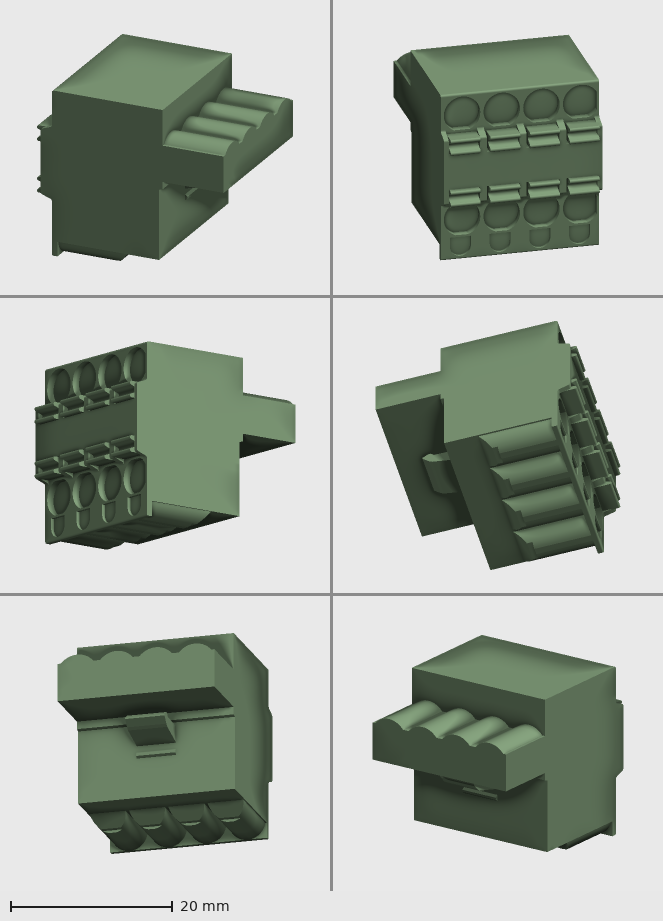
import cadquery as cq

length = 25.72
width = 20.22
height = 22.1
half_width = width / 2

pole_pitch = 5.07
pole_count = 4
pole_centers = [(i - (pole_count - 1) / 2) * pole_pitch for i in range(pole_count)]

face_x = 2.26
band_x = 0.7
band_mid_z = 12.35
band_half_height = 4.32
bevel_rise = 0.55
bevel_radius = 0.3
upper_back_x = 17.39
lower_back_x = 16.9
step_top_z = 11.5
step_bottom_z = 11.35
floor_z = 1.95
lip_back_x = 3.03
top_front_radius = 0.28
bottom_front_radius = 0.2
band_top_z = band_mid_z + band_half_height
band_bottom_z = band_mid_z - band_half_height

plug_bottom_z = 12.47
plug_shoulder_z = 17.34
plug_top_z = 18.3
plug_bump_width = 4.2

lever_width = 3.8
lever_shift_y = -0.1
lever_top_z = 16.87
lever_height = 2.1
lever_spacing_z = 6.9
lever_root_x = face_x + 0.51
prong_tip_height = 0.51
prong_tip_depth = 0.23
groove_depth = 1.25
groove_root_height = 0.5
groove_root_depth = 0.18
window_width = 4.2
window_side_wall = 0.62
window_reach = band_half_height + bevel_rise + bevel_radius
window_clearance = 0.08

driver_diameter = 4.65
driver_radius = driver_diameter / 2
driver_shift_y = -0.2
driver_depth = 1.0
driver_side_wall = 0.3
upper_driver_z = 19.37
upper_driver_flat_z = 17.28
lower_driver_z = 5.4
lower_driver_bottom_z = 3.22
lower_driver_top_z = 7.55

test_radius = 1.35
test_arc_z = 1.75
test_top_z = 2.95
test_depth = 0.45

duct_radius = driver_radius
duct_axis_z = 2.3
duct_foot_end_x = 10.37
duct_foot_height = 0.33
duct_tip_x = 11.09
duct_end_x = 12.55

latch_width = pole_pitch
latch_root_bottom_z = 8.7
latch_root_top_z = 10.8
latch_barb_x = 20.47
latch_barb_bottom_z = 10.9
latch_barb_top_z = 11.32
latch_crest_front_x = 20.83
latch_crest_back_x = 21.17
latch_tip_x = 21.91
latch_tip_bottom_z = 10.65
latch_tip_top_z = 10.85
latch_heel_x = 20.68
latch_heel_z = 9.55
latch_ramp_x = 21.1
latch_ramp_z = 9.83
nub_width = pole_pitch
nub_x = 17.23
nub_bottom_z = 7.1
nub_top_z = 7.9
nub_edge_bottom_z = 7.33
nub_edge_top_z = 7.61


def slab(outline, y_size, y_center=0.0):
    """Extrude a wire drawn in XZ symmetrically about y_center."""
    return outline.extrude(y_size / 2, both=True).translate((0, y_center, 0))


def box(x_range, y_range, z_range):
    sizes = [high - low for low, high in (x_range, y_range, z_range)]
    corner = (x_range[0], y_range[0], z_range[0])
    return cq.Workplane("XY").box(*sizes, centered=False).translate(corner)


def round_corner(solid, x, z, radius):
    """Round the edge along Y that passes through (x, z)."""
    edge = cq.selectors.NearestToPointSelector((x, 0, z))
    return solid.edges(edge).fillet(radius)


def make_housing():
    outline = cq.Workplane("XZ").polyline([
        (face_x, 0),
        (face_x, band_bottom_z - bevel_rise),
        (band_x, band_bottom_z),
        (band_x, band_top_z),
        (face_x, band_top_z + bevel_rise),
        (face_x, height),
        (upper_back_x, height),
        (upper_back_x, step_top_z),
        (lower_back_x, step_bottom_z),
        (lower_back_x, floor_z),
        (lip_back_x, floor_z),
        (lip_back_x, 0),
    ]).close()
    housing = slab(outline, width)
    for side in (-1, 1):
        corner_z = band_mid_z + side * band_half_height
        housing = round_corner(housing, band_x, corner_z, bevel_radius)
        housing = round_corner(housing, face_x, corner_z + side * bevel_rise, bevel_radius)
    housing = round_corner(housing, face_x, height, top_front_radius)
    return round_corner(housing, face_x, 0, bottom_front_radius)


def make_plug():
    plug = box((upper_back_x, length), (-half_width, half_width), (plug_bottom_z, plug_shoulder_z))
    half_bump = plug_bump_width / 2
    for y in pole_centers:
        bump = (
            cq.Workplane("YZ", origin=(upper_back_x, y, 0))
            .moveTo(-half_bump, plug_shoulder_z)
            .threePointArc((0, plug_top_z), (half_bump, plug_shoulder_z))
            .close()
            .extrude(length - upper_back_x)
        )
        plug = plug.union(bump)
    return plug


def make_window(y, z_range):
    inner_limit = half_width - window_side_wall
    y_low = max(y - window_width / 2, -inner_limit)
    y_high = min(y + window_width / 2, inner_limit)
    return box((0, face_x), (y_low, y_high), z_range)


def make_lever(y, top_z):
    """Two rounded prongs with a round-bottomed groove between them."""
    middle_z = -lever_height / 2
    groove_shoulder_x = groove_depth - groove_root_depth
    groove_top_z = middle_z + groove_root_height / 2
    groove_bottom_z = middle_z - groove_root_height / 2
    outline = (
        cq.Workplane("XZ")
        .moveTo(lever_root_x, 0)
        .lineTo(prong_tip_depth, 0)
        .threePointArc((0, -prong_tip_height / 2), (prong_tip_depth, -prong_tip_height))
        .lineTo(groove_shoulder_x, groove_top_z)
        .threePointArc((groove_depth, middle_z), (groove_shoulder_x, groove_bottom_z))
        .lineTo(prong_tip_depth, prong_tip_height - lever_height)
        .threePointArc((0, prong_tip_height / 2 - lever_height), (prong_tip_depth, -lever_height))
        .lineTo(lever_root_x, -lever_height)
        .close()
    )
    return slab(outline, lever_width, y + lever_shift_y).translate((0, 0, top_z))


def make_driver_pocket(y, z, z_range):
    """Round pocket cut off flat above and below, and kept clear of the side walls."""
    limit = half_width - driver_side_wall
    pocket = (
        cq.Workplane("YZ", origin=(face_x, y + driver_shift_y, z))
        .circle(driver_radius)
        .extrude(driver_depth)
    )
    return pocket.intersect(box((face_x, face_x + driver_depth), (-limit, limit), z_range))


def make_test_opening(y):
    return (
        cq.Workplane("YZ", origin=(face_x, y, 0))
        .moveTo(-test_radius, test_top_z)
        .lineTo(-test_radius, test_arc_z)
        .threePointArc((0, test_arc_z - test_radius), (test_radius, test_arc_z))
        .lineTo(test_radius, test_top_z)
        .close()
        .extrude(test_depth)
    )


def make_duct(y):
    """Round duct hanging below the floor, with a stepped and slanted end."""
    duct = (
        cq.Workplane("YZ", origin=(lip_back_x, y, duct_axis_z))
        .circle(duct_radius)
        .extrude(duct_end_x - lip_back_x)
    )
    envelope = cq.Workplane("XZ").polyline([
        (lip_back_x, 0),
        (duct_foot_end_x, 0),
        (duct_foot_end_x, duct_foot_height),
        (duct_tip_x, duct_foot_height),
        (duct_end_x, floor_z),
        (duct_end_x, duct_axis_z),
        (lip_back_x, duct_axis_z),
    ]).close()
    return duct.intersect(slab(envelope, 2 * duct_radius, y))


def make_latch():
    """Hooked arm, outlined from its lower root round the tip to its upper root."""
    outline = cq.Workplane("XZ").polyline([
        (lower_back_x, latch_root_bottom_z),
        (latch_heel_x, latch_heel_z),
        (latch_ramp_x, latch_ramp_z),
        (latch_tip_x, latch_tip_bottom_z),
        (latch_tip_x, latch_tip_top_z),
        (latch_crest_back_x, latch_barb_top_z),
        (latch_crest_front_x, latch_barb_top_z),
        (latch_barb_x, latch_barb_bottom_z),
        (lower_back_x, latch_root_top_z),
    ]).close()
    return slab(outline, latch_width)


def make_nub():
    outline = cq.Workplane("XZ").polyline([
        (lower_back_x, nub_bottom_z),
        (nub_x, nub_edge_bottom_z),
        (nub_x, nub_edge_top_z),
        (lower_back_x, nub_top_z),
    ]).close()
    return slab(outline, nub_width)


result = make_housing().union(make_plug()).union(make_latch()).union(make_nub())

lower_lever_top_z = lever_top_z - lever_spacing_z
upper_window_range = (lever_top_z - lever_height - window_clearance, band_mid_z + window_reach)
lower_window_range = (band_mid_z - window_reach, lower_lever_top_z + window_clearance)
upper_driver_range = (upper_driver_flat_z, height)
lower_driver_range = (lower_driver_bottom_z, lower_driver_top_z)

for pole_y in pole_centers:
    result = result.cut(make_window(pole_y, upper_window_range))
    result = result.cut(make_window(pole_y, lower_window_range))
    result = result.cut(make_driver_pocket(pole_y, upper_driver_z, upper_driver_range))
    result = result.cut(make_driver_pocket(pole_y, lower_driver_z, lower_driver_range))
    result = result.cut(make_test_opening(pole_y))
    result = result.union(make_lever(pole_y, lever_top_z))
    result = result.union(make_lever(pole_y, lower_lever_top_z))
    result = result.union(make_duct(pole_y))